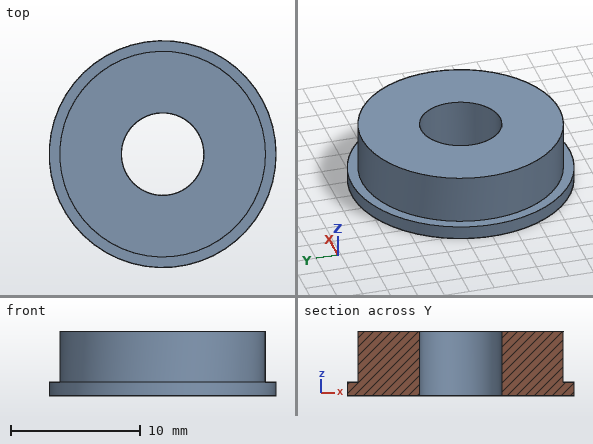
import cadquery as cq

flange_diameter = 17.526
flange_thickness = 1.067
body_diameter = 15.875
bore_diameter = 6.35
total_height = 4.978


def flanged_body():
    """Solid stepped cylinder: wide flange at the bottom, body rising through it."""
    flange = cq.Workplane("XY").circle(flange_diameter / 2).extrude(flange_thickness)
    body = cq.Workplane("XY").circle(body_diameter / 2).extrude(total_height)
    return flange.union(body)


def bore():
    """Cylinder that removes the through bore."""
    return cq.Workplane("XY").circle(bore_diameter / 2).extrude(total_height)


result = flanged_body().cut(bore())